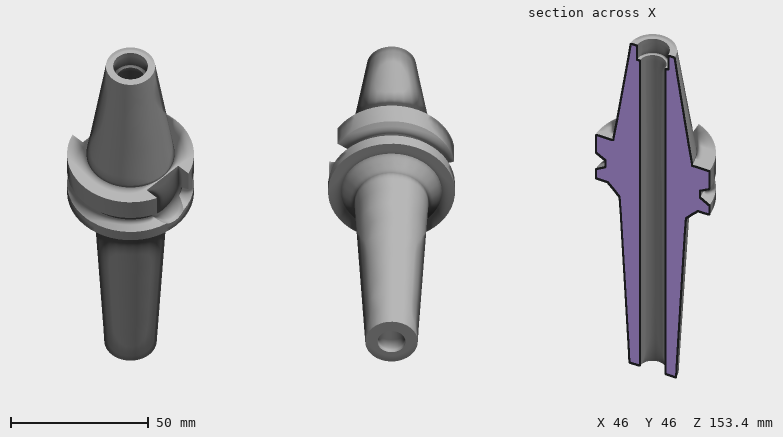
import cadquery as cq

total_length = 153.4
taper_base_z = 105.2
flange_top_z = 104.3
groove_upper_edge_z = 95.5
groove_floor_top_z = 93.3
groove_floor_bottom_z = 90.2
groove_lower_edge_z = 87.7
flange_bottom_z = 83.1
neck_top_z = 78.0

flange_radius = 23.0
groove_radius = 19.2
taper_slope = 7 / 48
taper_base_radius = 16.0
taper_tip_radius = taper_base_radius - taper_slope * (total_length - taper_base_z)
shoulder_radius = 18.3
neck_radius = 13.5
nose_radius = 9.5

bore_radius = 5.0
counterbore_radius = 6.3
counterbore_depth = 6.7

slot_half_width = 8.1
slot_floor_x = 16.3
slot_bottom_z = 86.4


def make_body():
    """Revolve the outer profile: nose, shoulder, grooved flange and taper."""
    profile = [
        (0, 0),
        (nose_radius, 0),
        (neck_radius, neck_top_z),
        (shoulder_radius, flange_bottom_z),
        (flange_radius, flange_bottom_z),
        (flange_radius, groove_lower_edge_z),
        (groove_radius, groove_floor_bottom_z),
        (groove_radius, groove_floor_top_z),
        (flange_radius, groove_upper_edge_z),
        (flange_radius, flange_top_z),
        (taper_base_radius, flange_top_z),
        (taper_base_radius, taper_base_z),
        (taper_tip_radius, total_length),
        (0, total_length),
    ]
    return cq.Workplane("XZ").polyline(profile).close().revolve(360, (0, 0), (0, 1))


def make_bore():
    """Revolve the through bore with a plain step to the counterbore."""
    step_z = total_length - counterbore_depth
    profile = [
        (0, 0),
        (bore_radius, 0),
        (bore_radius, step_z),
        (counterbore_radius, step_z),
        (counterbore_radius, total_length),
        (0, total_length),
    ]
    return cq.Workplane("XZ").polyline(profile).close().revolve(360, (0, 0), (0, 1))


def make_drive_slot(side):
    """Round-bottomed slot cutter; side is +1 or -1 along X."""
    arc_center_z = slot_bottom_z + slot_half_width
    return (
        cq.Workplane("YZ", origin=(side * slot_floor_x, 0, 0))
        .moveTo(-slot_half_width, flange_top_z)
        .lineTo(-slot_half_width, arc_center_z)
        .threePointArc((0, slot_bottom_z), (slot_half_width, arc_center_z))
        .lineTo(slot_half_width, flange_top_z)
        .close()
        .extrude(side * flange_radius)
    )


result = make_body().cut(make_bore())
for side in (-1, 1):
    result = result.cut(make_drive_slot(side))